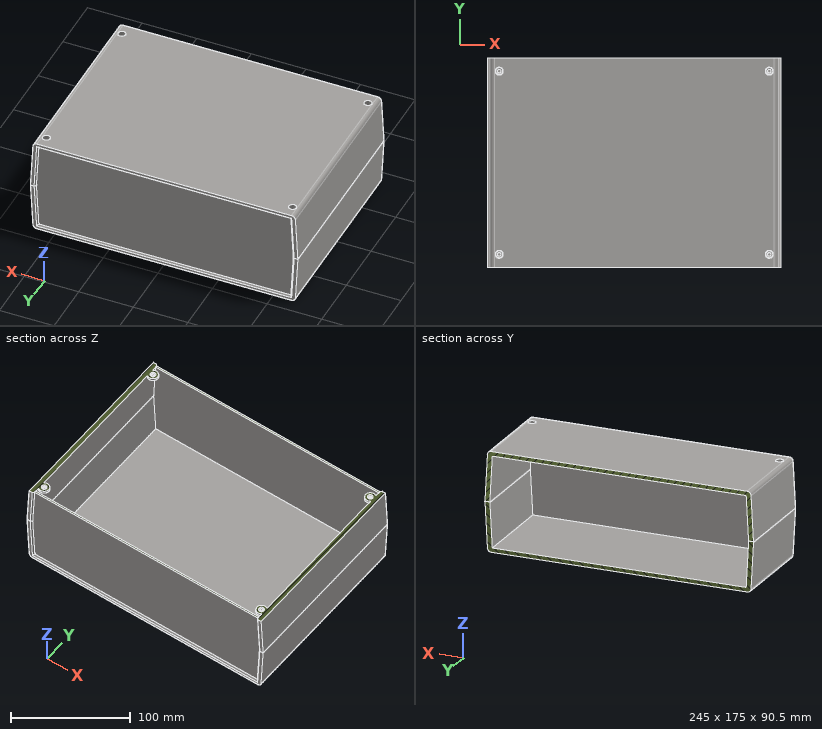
import cadquery as cq

width = 245.0
depth = 175.0
height = 90.5
side_taper = 2.5
corner_radius = 3.7

side_rim = 3.5
top_rim = 3.0
panel_recess = 1.5
side_wall = side_rim + panel_recess
top_wall = top_rim + panel_recess
panel_thickness = 2.0

seam_offset = 0.5

screw_x = 112.7
screw_y = 76.5
post_diameter = 9.8
head_hole_diameter = 6.5
head_hole_depth = 6.1
shank_hole_diameter = 3.0
seat_diameter = 6.0
seat_depth = 1.2
seat_floor = 1.5
post_depth = head_hole_depth + seat_depth + seat_floor


def barrel_wire(plane_y, side_inset, top_inset):
    """Six-sided outline, widest at mid height, on the plane Y = plane_y."""
    middle_x = width / 2 - side_inset
    top_z = height / 2 - top_inset
    top_x = middle_x - side_taper * top_z / (height / 2)
    points = [
        (middle_x, 0),
        (top_x, top_z),
        (-top_x, top_z),
        (-middle_x, 0),
        (-top_x, -top_z),
        (top_x, -top_z),
    ]
    plane = cq.Plane(origin=(0, plane_y, 0), xDir=(1, 0, 0), normal=(0, -1, 0))
    return cq.Workplane(plane).polyline(points).close()


def barrel_prism(front_y, back_y, side_inset, top_inset):
    return barrel_wire(front_y, side_inset, top_inset).extrude(front_y - back_y)


def make_flare():
    """Cutter for the front opening: narrows from the rim to the bore at the panel."""
    rim = barrel_wire(-depth / 2, side_rim, top_rim).wires().val()
    bore = barrel_wire(-depth / 2 + panel_recess, side_wall, top_wall).wires().val()
    return cq.Workplane(cq.Solid.makeLoft([rim, bore], True))


def make_sleeve():
    """Both shells in one piece: a tube open at the front and back."""
    outside = barrel_prism(-depth / 2, depth / 2, 0, 0)
    for face in (">Z", "<Z"):
        outside = outside.faces(face).edges("|Y").fillet(corner_radius)
    bore = barrel_prism(-depth / 2, depth / 2, side_wall, top_wall)
    flare = make_flare()
    return outside.cut(bore).cut(flare).cut(flare.mirror("XZ"))


def make_upper_zone():
    """Block that covers everything above the stepped seam."""
    seam_points = [
        (-width, seam_offset),
        (0, seam_offset),
        (0, -seam_offset),
        (width, -seam_offset),
        (width, height),
        (-width, height),
    ]
    return cq.Workplane("XZ").polyline(seam_points).close().extrude(depth, both=True)


def make_screw_post(x, y):
    bottom_z = height / 2 - post_depth
    post = cq.Workplane("XY", origin=(x, y, bottom_z)).circle(post_diameter / 2)
    return post.extrude(post_depth - top_wall)


def make_screw_hole(x, y):
    """Cutter turned around the screw axis: head hole, conical seat, shank hole."""
    head_radius = head_hole_diameter / 2
    shank_radius = shank_hole_diameter / 2
    profile = [
        (0, 0),
        (head_radius, 0),
        (head_radius, -head_hole_depth),
        (seat_diameter / 2, -head_hole_depth),
        (shank_radius, -head_hole_depth - seat_depth),
        (shank_radius, -post_depth),
        (0, -post_depth),
    ]
    hole = cq.Workplane("XZ").polyline(profile).close().revolve(360, (0, 0, 0), (0, 1, 0))
    return hole.translate((x, y, height / 2))


def make_bottom_shell():
    return make_sleeve().cut(make_upper_zone())


def make_top_shell():
    shell = make_sleeve().intersect(make_upper_zone())
    for x in (-screw_x, screw_x):
        for y in (-screw_y, screw_y):
            shell = shell.union(make_screw_post(x, y)).cut(make_screw_hole(x, y))
    return shell


def make_panel(outer_y, inner_y):
    return barrel_prism(outer_y, inner_y, side_wall, top_wall)


top_shell = make_top_shell()
bottom_shell = make_bottom_shell()
panel_y = depth / 2 - panel_recess
end_panels = [
    make_panel(sign * panel_y, sign * (panel_y - panel_thickness)) for sign in (-1, 1)
]

result = cq.Compound.makeCompound(
    [top_shell.val(), bottom_shell.val(), *[panel.val() for panel in end_panels]]
)